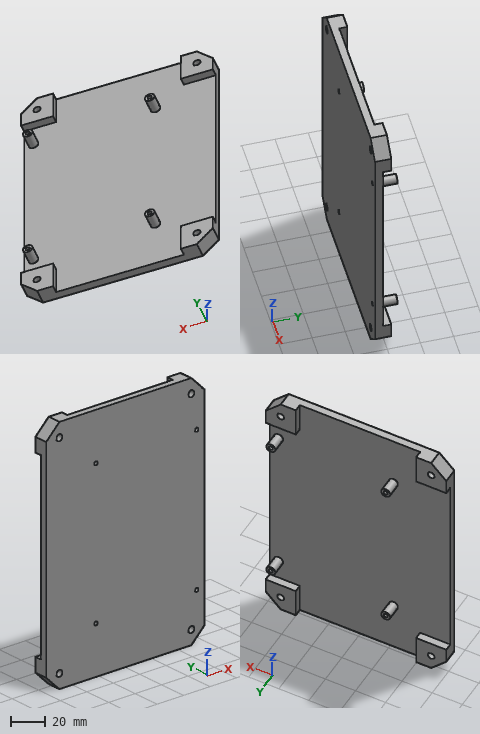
import cadquery as cq

width = 120.0
height = 170.0
total_depth = 14.5
plate_thickness = 5.0
corner_chamfer = 10.0

block_size = 2 * corner_chamfer
block_depth = 2 * plate_thickness
corner_hole_diameter = 4.5
corner_hole_inset = corner_chamfer

post_diameter = 6.0
pilot_diameter = 2.5
post_spacing_x = 76.3
post_spacing_z = 101.8
post_edge_inset = 6.0

front_y = -total_depth / 2
post_right_x = width / 2 - post_edge_inset
post_points = [
    (x, z)
    for x in (post_right_x - post_spacing_x, post_right_x)
    for z in (-post_spacing_z / 2, post_spacing_z / 2)
]


def front_plane():
    """Workplane on the outer face, with its normal pointing outwards along -Y."""
    return cq.Workplane(cq.Plane(origin=(0, front_y, 0), xDir=(1, 0, 0), normal=(0, -1, 0)))


def extrude_back(sketch, depth):
    """Extrude a sketch on the outer face towards +Y."""
    return sketch.extrude(-depth)


def chamfered_slab(depth):
    """Full rectangular outline with its four corners cut at 45 degrees."""
    slab = extrude_back(front_plane().rect(width, height), depth)
    return slab.edges("|Y").chamfer(corner_chamfer)


def corner_blocks():
    """Square blocks in the four corners, trimmed by the plate outline."""
    squares = front_plane().rect(width - block_size, height - block_size, forConstruction=True)
    blocks = extrude_back(squares.vertices().rect(block_size, block_size), block_depth)
    return blocks.intersect(chamfered_slab(block_depth))


def corner_holes():
    """Through holes in the corner blocks."""
    hole_span_x = width - 2 * corner_hole_inset
    hole_span_z = height - 2 * corner_hole_inset
    centers = front_plane().rect(hole_span_x, hole_span_z, forConstruction=True).vertices()
    return extrude_back(centers.circle(corner_hole_diameter / 2), total_depth)


def post_cylinders(diameter):
    """Full-depth cylinders at the four post positions."""
    return extrude_back(front_plane().pushPoints(post_points).circle(diameter / 2), total_depth)


result = (
    chamfered_slab(plate_thickness)
    .union(corner_blocks())
    .union(post_cylinders(post_diameter))
    .cut(corner_holes())
    .cut(post_cylinders(pilot_diameter))
)